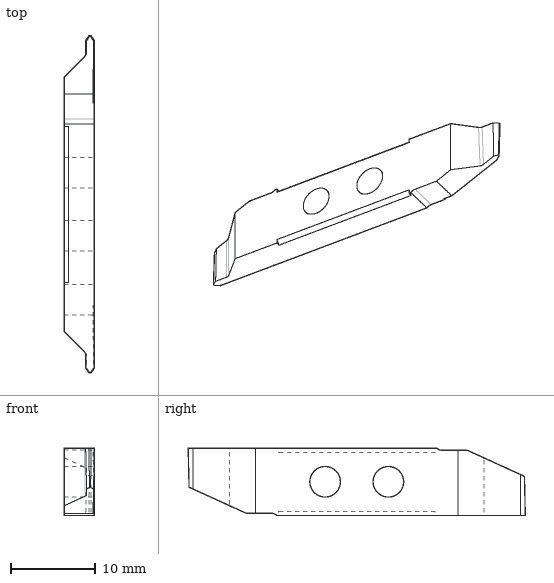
import cadquery as cq
import math

WIDTH = 3.6
LENGTH = 40.0
HEIGHT = 8.0
HALF_LENGTH = LENGTH / 2
HALF_HEIGHT = HEIGHT / 2

STEP_DEPTH = 0.25
STEP_START = 9.5
STEP_END = 10.1
SLOPE_START = 13.1
SLOPE_ANGLE = 24.5

BLADE_WIDTH = 1.04
BLADE_LENGTH = 2.35
BLADE_SIDE = WIDTH - BLADE_WIDTH
ROOT_RADIUS = 0.55

TIP_FLAT = 0.25
POINT_LENGTH = 0.57
TIP_CENTRE = WIDTH - BLADE_WIDTH / 2

RELIEF_ANGLE = 1.25
BACK_RELIEF_LENGTH = 8.0

HOLE_DIAMETER = 3.6
HOLE_SPACING = 7.5
CHAMFER = 0.5
CHAMFER_LENGTH = 18.5

RELIEF = HEIGHT * math.tan(math.radians(RELIEF_ANGLE))
FLANK_ANGLE = math.atan2(POINT_LENGTH, (BLADE_WIDTH - TIP_FLAT) / 2)


def half_turn(shape):
    """Turn a shape by 180 degrees about the X axis, onto the other end or edge."""
    return shape.rotate((0, 0, 0), (1, 0, 0), 180)


def make_body():
    """Bar with the side outline, running the full width in X."""
    slope_drop = (HALF_LENGTH - SLOPE_START) * math.tan(math.radians(SLOPE_ANGLE))
    step_height = HALF_HEIGHT - STEP_DEPTH
    outline = cq.Workplane("YZ").moveTo(-STEP_START, -HALF_HEIGHT)
    for sign in (1, -1):
        outline = (
            outline.lineTo(sign * HALF_LENGTH, -sign * HALF_HEIGHT)
            .lineTo(sign * HALF_LENGTH, sign * (step_height - slope_drop))
            .lineTo(sign * SLOPE_START, sign * step_height)
            .lineTo(sign * STEP_END, sign * step_height)
            .tangentArcPoint((sign * STEP_START, sign * HALF_HEIGHT), relative=False)
        )
    return outline.close().extrude(WIDTH)


def plan_section(relief):
    """Outline of the -Y half in plan, with every blade edge moved inward by the relief."""
    side = BLADE_SIDE + relief
    far_side = WIDTH - relief
    tip_y = -HALF_LENGTH + relief
    half_flat = TIP_FLAT / 2 - relief * math.tan(FLANK_ANGLE / 2)
    shoulder_shift = relief * math.tan((math.pi / 2 - FLANK_ANGLE) / 2)
    shoulder_y = -HALF_LENGTH + POINT_LENGTH + shoulder_shift
    root_y = -HALF_LENGTH + BLADE_LENGTH - relief
    points = [
        (0, 0),
        (0, root_y + side),
        (side, root_y),
        (side, shoulder_y),
        (TIP_CENTRE - half_flat, tip_y),
        (TIP_CENTRE + half_flat, tip_y),
        (far_side, shoulder_y),
        (far_side, 0),
    ]
    return cq.Wire.makePolygon([cq.Vector(x, y, 0) for x, y in points], close=True)


def make_plan_envelope():
    """Tapered column that trims the -Y half to its blade shape; widest at the top."""
    top = plan_section(0).translate(cq.Vector(0, 0, HALF_HEIGHT))
    bottom = plan_section(RELIEF).translate(cq.Vector(0, 0, -HALF_HEIGHT))
    column = cq.Workplane(cq.Solid.makeLoft([bottom, top], True))
    root_point = (BLADE_SIDE + RELIEF / 2, -HALF_LENGTH + BLADE_LENGTH - RELIEF / 2, 0)
    column = column.edges(cq.selectors.NearestToPointSelector(root_point)).fillet(ROOT_RADIUS)
    middle_length = HALF_LENGTH - BACK_RELIEF_LENGTH
    middle = cq.Workplane("XY").box(WIDTH, middle_length, HEIGHT, centered=(False, False, True))
    return column.union(middle.translate((0, -middle_length, 0)))


def make_holes():
    """Two through holes along X."""
    centres = [(-HOLE_SPACING / 2, 0), (HOLE_SPACING / 2, 0)]
    return cq.Workplane("YZ").pushPoints(centres).circle(HOLE_DIAMETER / 2).extrude(WIDTH)


def make_edge_chamfer():
    """Triangular prism that bevels the middle of the upper -X edge."""
    corners = [(0, HALF_HEIGHT), (CHAMFER, HALF_HEIGHT), (0, HALF_HEIGHT - CHAMFER)]
    return cq.Workplane("XZ").polyline(corners).close().extrude(CHAMFER_LENGTH / 2, both=True)


envelope = make_plan_envelope()
chamfer = make_edge_chamfer()
result = make_body().intersect(envelope.union(half_turn(envelope)))
result = result.cut(make_holes()).cut(chamfer).cut(half_turn(chamfer))